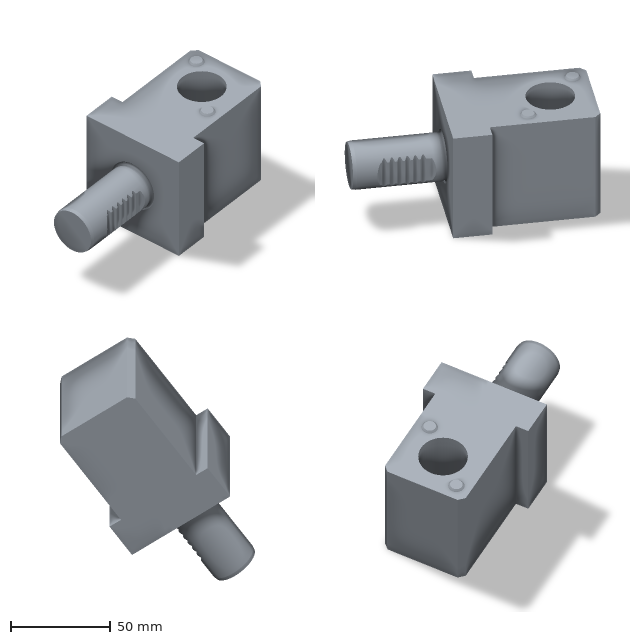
import cadquery as cq
import math

flange_size = 60.0
flange_thickness = 20.0
body_width = 46.0
block_length = 77.0
rear_chamfer = 3.0
top_z = flange_size / 2

bore_diameter = 25.0
bore_depth = 40.0
bore_to_rear = 22.0
bore_y = block_length - bore_to_rear
pin_offset_x = 15.0
pin_offset_y = 14.0
pin_base_diameter = 8.2
pin_tip_diameter = 6.4
pin_height = 1.1

shank_diameter = 25.0
shank_length = 48.0
neck_diameter = 24.1
neck_length = 0.6
lead_in_length = 1.6
tip_chamfer_length = 2.0

recess_diameter = 27.8
recess_depth = 0.6
root_fillet_radius = 0.9

tooth_pitch = 4.0
valley_count = 6
first_valley = 11.8
crest_x = 10.6
valley_x = 9.2
valley_flat = 0.6
flank_length = 1.1
flat_start = 7.4
flat_end = 33.8
cutter_overshoot = 1.2


def make_block():
    """Square flange with a narrower body behind it, chamfered at the rear."""
    flange = cq.Workplane("XY").box(
        flange_size, flange_thickness, flange_size, centered=(True, False, True)
    )
    body = (
        cq.Workplane("XY")
        .box(body_width, block_length, flange_size, centered=(True, False, True))
        .edges("|Z and >Y")
        .chamfer(rear_chamfer)
    )
    return flange.union(body)


def make_bore():
    """Blind, flat-bottomed bore entering from the top face."""
    return (
        cq.Workplane("XY", origin=(0, bore_y, top_z))
        .circle(bore_diameter / 2)
        .extrude(-bore_depth)
    )


def make_pin(x, y):
    """Tapered pin head standing on the top face."""
    return (
        cq.Workplane("XY", origin=(x, y, top_z))
        .circle(pin_base_diameter / 2)
        .workplane(offset=pin_height)
        .circle(pin_tip_diameter / 2)
        .loft()
    )


def make_recess():
    """Shallow round pocket in the mounting face with a 45 degree wall."""
    mouth_radius = recess_diameter / 2
    return (
        cq.Workplane("XY")
        .moveTo(0, 0)
        .lineTo(mouth_radius, 0)
        .lineTo(mouth_radius - recess_depth, recess_depth)
        .lineTo(0, recess_depth)
        .close()
        .revolve(360, (0, 0, 0), (0, 1, 0))
    )


def make_shank():
    """Turned shank: root fillet, neck, lead-in cone, cylinder and tip chamfer, revolved about Y."""
    neck_radius = neck_diameter / 2
    shank_radius = shank_diameter / 2
    fillet_end_y = recess_depth - root_fillet_radius
    fillet_center = (neck_radius + root_fillet_radius, fillet_end_y)
    fillet_reach = root_fillet_radius * math.sqrt(0.5)
    fillet_middle = (fillet_center[0] - fillet_reach, fillet_center[1] + fillet_reach)
    return (
        cq.Workplane("XY")
        .moveTo(0, recess_depth)
        .lineTo(fillet_center[0], recess_depth)
        .threePointArc(fillet_middle, (neck_radius, fillet_end_y))
        .lineTo(neck_radius, -neck_length)
        .lineTo(shank_radius, -neck_length - lead_in_length)
        .lineTo(shank_radius, tip_chamfer_length - shank_length)
        .lineTo(neck_radius, -shank_length)
        .lineTo(0, -shank_length)
        .close()
        .revolve(360, (0, 0, 0), (0, 1, 0))
    )


def make_serration():
    """Cutter for the serrated flat: trapezoid valleys between 45 degree run-outs."""
    outer_x = shank_diameter / 2 + cutter_overshoot
    run_out = outer_x - crest_x
    bottom_half_width = valley_flat / 2
    mouth_half_width = bottom_half_width + flank_length
    points = [(outer_x, run_out - flat_start), (crest_x, -flat_start)]
    for index in range(valley_count):
        valley_y = -first_valley - index * tooth_pitch
        points += [
            (crest_x, valley_y + mouth_half_width),
            (valley_x, valley_y + bottom_half_width),
            (valley_x, valley_y - bottom_half_width),
            (crest_x, valley_y - mouth_half_width),
        ]
    points += [(crest_x, -flat_end), (outer_x, -flat_end - run_out)]
    return (
        cq.Workplane("XY")
        .polyline(points)
        .close()
        .extrude(shank_diameter / 2, both=True)
    )


result = make_block().cut(make_bore()).cut(make_recess())
result = result.union(make_shank().cut(make_serration()))
for side in (-1, 1):
    result = result.union(make_pin(side * pin_offset_x, bore_y - side * pin_offset_y))